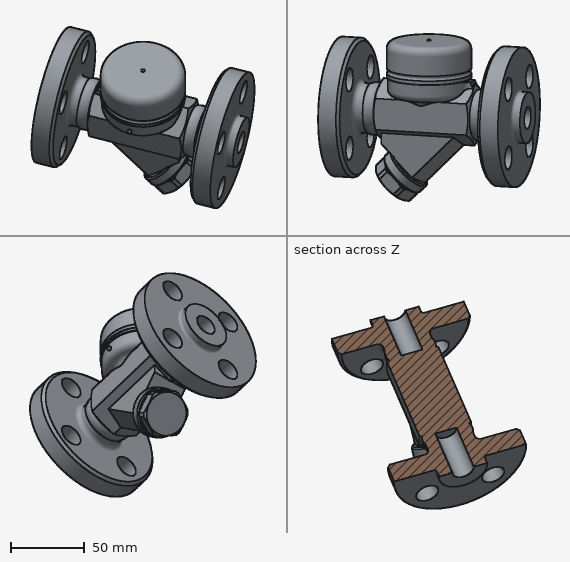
import cadquery as cq
import math


length = 140.0
half_length = length / 2
flange_radius = 95.0 / 2
flange_inner_x = 49.0
flange_outer_x = 63.8
flange_chamfer = 2.1
pipe_radius = 34.9 / 2
pipe_shoulder_x = 65.5
outer_fillet_radius = 19.5
neck_radius = 34.0 / 2
neck_start_x = 41.9
neck_end_x = 45.2
inner_fillet_radius = 40.0 / 2
weld_start_x = 34.2
weld_radius = 17.9
bolt_hole_diameter = 16.0
bolt_circle_diameter = 66.8
bolt_count = 4
bore_diameter = 15.0
bore_end_x = 35.0

body_across_flats = 37.2
body_end_x = 34.2
body_end_radius = 17.1
body_chamfer_x = 32.2

cap_radius = 57.5 / 2
cap_top_z = 49.1
cap_bottom_z = 30.1
cap_fillet = 5.6
groove_radius = 27.5
ring_top_z = 26.7
ring_bottom_z = 24.0
bowl_radius = 56.0 / 2
bowl_fillet = 4.9
bowl_bottom_z = 10.9
bowl_neck_radius = 18.5

ball_radius = 3.0 / 2
ball_offset = 0.7
top_ball_z = cap_top_z - ball_offset
side_ball_y = -(bowl_radius + ball_offset)
side_ball_z = 17.5
lug_width = 10.1
lug_top_x = -30.8
lug_top_z = 23.0
lug_base_x = -33.6
lug_base_z = 17.4

boss_axis_x = -24.9
boss_angle = math.radians(45)
boss_across_flats = 25.9
boss_start = -7.0
boss_end = 36.7
boss_flat_edge = 10.5
gusset_setback = 0.49
gusset_end_x = 30.0

collar_radius = 34.0 / 2
collar_length = 8.4
collar_chamfer = 1.1
plug_length = 17.9
plug_hex_across_flats = 30.1
plug_hex_corner_radius = 33.2 / 2
plug_chamfer_radius = 14.8
plug_chamfer_depth = 1.0


def inclined(along, across):
    """X, Z of a point measured along the screen axis and square to it."""
    foot = boss_axis_x * math.cos(boss_angle)
    x = foot * math.cos(boss_angle) + along * math.cos(boss_angle) + across * math.sin(boss_angle)
    z = foot * math.sin(boss_angle) - along * math.sin(boss_angle) + across * math.cos(boss_angle)
    return x, z


def inclined_plane(along):
    """Plane square to the screen axis, with its local X towards the upper right."""
    x, z = inclined(along, 0)
    axis = (math.cos(boss_angle), 0, -math.sin(boss_angle))
    across = (math.sin(boss_angle), 0, math.cos(boss_angle))
    return cq.Plane(origin=(x, 0, z), xDir=across, normal=axis)


def hexagon_diameter(across_flats):
    return across_flats / math.cos(math.pi / 6)


def fillet_middle(corner_x, corner_y, centre_x, centre_y):
    """Middle point of a rounded corner whose arc bulges from its centre towards the corner."""
    share = math.sin(math.pi / 4)
    return centre_x + (corner_x - centre_x) * share, centre_y + (corner_y - centre_y) * share


def pipe_end():
    """Weld bead, neck, flange and pipe stub on the +X side."""
    inner_middle = fillet_middle(flange_inner_x, neck_radius, neck_end_x, inner_fillet_radius)
    outer_middle = fillet_middle(flange_outer_x, pipe_radius, pipe_shoulder_x, outer_fillet_radius)
    blank = (
        cq.Workplane("XY")
        .lineTo(0, neck_radius)
        .lineTo(weld_start_x, neck_radius)
        .threePointArc(((weld_start_x + neck_start_x) / 2, weld_radius), (neck_start_x, neck_radius))
        .lineTo(neck_end_x, neck_radius)
        .threePointArc(inner_middle, (flange_inner_x, inner_fillet_radius))
        .lineTo(flange_inner_x, flange_radius - flange_chamfer)
        .lineTo(flange_inner_x + flange_chamfer, flange_radius)
        .lineTo(flange_outer_x, flange_radius)
        .lineTo(flange_outer_x, outer_fillet_radius)
        .threePointArc(outer_middle, (pipe_shoulder_x, pipe_radius))
        .lineTo(half_length, pipe_radius)
        .lineTo(half_length, 0)
        .close()
        .revolve(360, (0, 0, 0), (1, 0, 0))
    )
    bolt_holes = (
        cq.Workplane("YZ", origin=(flange_inner_x, 0, 0))
        .polarArray(bolt_circle_diameter / 2, 180 / bolt_count, 360, bolt_count)
        .circle(bolt_hole_diameter / 2)
        .extrude(flange_outer_x - flange_inner_x)
    )
    return blank.cut(bolt_holes)


def bore():
    """Blind flow bore on the +X side."""
    return (
        cq.Workplane("YZ", origin=(bore_end_x, 0, 0))
        .circle(bore_diameter / 2)
        .extrude(half_length - bore_end_x)
    )


def hexagonal_body():
    """Hexagonal bar along X with corners at top and bottom, turned down at both ends."""
    corner_radius = hexagon_diameter(body_across_flats) / 2
    bar = (
        cq.Workplane("YZ", origin=(-body_end_x, 0, 0))
        .transformed(rotate=(0, 0, 90))
        .polygon(6, 2 * corner_radius)
        .extrude(2 * body_end_x)
    )
    turned = (
        cq.Workplane("XY")
        .moveTo(-body_end_x, 0)
        .lineTo(-body_end_x, body_end_radius)
        .lineTo(-body_chamfer_x, corner_radius)
        .lineTo(body_chamfer_x, corner_radius)
        .lineTo(body_end_x, body_end_radius)
        .lineTo(body_end_x, 0)
        .close()
        .revolve(360, (0, 0, 0), (1, 0, 0))
    )
    return bar.intersect(turned)


def cap_and_bowl():
    """Turned cap with its groove and ring, standing on the rounded bowl and its flared neck."""
    cap_middle = fillet_middle(cap_radius, cap_top_z, cap_radius - cap_fillet, cap_top_z - cap_fillet)
    bowl_edge_radius = bowl_radius - bowl_fillet
    bowl_middle = fillet_middle(bowl_radius, bowl_bottom_z, bowl_edge_radius, bowl_bottom_z + bowl_fillet)
    neck_fillet_z = bowl_bottom_z - (bowl_edge_radius - bowl_neck_radius)
    neck_middle = fillet_middle(bowl_neck_radius, bowl_bottom_z, bowl_edge_radius, neck_fillet_z)
    return (
        cq.Workplane("XZ")
        .moveTo(0, cap_top_z)
        .lineTo(cap_radius - cap_fillet, cap_top_z)
        .threePointArc(cap_middle, (cap_radius, cap_top_z - cap_fillet))
        .lineTo(cap_radius, cap_bottom_z)
        .threePointArc((groove_radius, (cap_bottom_z + ring_top_z) / 2), (cap_radius, ring_top_z))
        .lineTo(cap_radius, ring_bottom_z)
        .lineTo(bowl_radius, ring_bottom_z)
        .lineTo(bowl_radius, bowl_bottom_z + bowl_fillet)
        .threePointArc(bowl_middle, (bowl_edge_radius, bowl_bottom_z))
        .threePointArc(neck_middle, (bowl_neck_radius, neck_fillet_z))
        .lineTo(0, neck_fillet_z)
        .close()
        .revolve(360, (0, 0, 0), (0, 1, 0))
    )


def marker_balls():
    top_ball = cq.Workplane("XY", origin=(0, 0, top_ball_z)).sphere(ball_radius)
    side_ball = cq.Workplane("XY", origin=(0, side_ball_y, side_ball_z)).sphere(ball_radius)
    return top_ball, side_ball


def lug():
    """Block on the body ridge with a sloping outer end, its sides curving tangent to the bowl."""
    half_width = lug_width / 2
    side_fillet = (lug_top_x**2 + half_width**2 - bowl_radius**2) / (2 * (bowl_radius - half_width))
    centre_y = half_width + side_fillet
    centre_distance = bowl_radius + side_fillet
    tangent_x = lug_top_x * bowl_radius / centre_distance
    tangent_y = centre_y * bowl_radius / centre_distance
    middle_angle = math.atan2(tangent_y - centre_y, tangent_x - lug_top_x) / 2 - math.pi / 4
    middle_x = lug_top_x + side_fillet * math.cos(middle_angle)
    middle_y = centre_y + side_fillet * math.sin(middle_angle)
    plan = (
        cq.Workplane("XY", origin=(0, 0, lug_base_z))
        .lineTo(tangent_x, tangent_y)
        .threePointArc((middle_x, middle_y), (lug_top_x, half_width))
        .lineTo(lug_base_x, half_width)
        .lineTo(lug_base_x, -half_width)
        .lineTo(lug_top_x, -half_width)
        .threePointArc((middle_x, -middle_y), (tangent_x, -tangent_y))
        .close()
        .extrude(lug_top_z - lug_base_z)
    )
    profile = (
        cq.Workplane("XZ")
        .moveTo(0, lug_top_z)
        .lineTo(lug_top_x, lug_top_z)
        .lineTo(lug_base_x, lug_base_z)
        .lineTo(0, lug_base_z)
        .close()
        .extrude(bowl_radius, both=True)
    )
    return plan.intersect(profile)


def screen_boss():
    """Hexagonal boss along the screen axis, filled up to the body by a flat-sided gusset."""
    gusset_end = boss_end - gusset_setback
    gusset_drop = inclined(gusset_end, 0)[1] - inclined(gusset_end, 0)[0]
    prism = (
        cq.Workplane(inclined_plane(boss_start))
        .polygon(6, hexagon_diameter(boss_across_flats))
        .extrude(boss_end - boss_start)
    )
    gusset = (
        cq.Workplane("XZ")
        .moveTo(boss_axis_x, 0)
        .lineTo(gusset_end_x, 0)
        .lineTo(gusset_end_x, gusset_end_x + gusset_drop)
        .lineTo(*inclined(gusset_end, boss_flat_edge))
        .lineTo(*inclined(boss_end, boss_flat_edge))
        .lineTo(*inclined(boss_end, 0))
        .close()
        .extrude(boss_across_flats / 2, both=True)
    )
    return prism.union(gusset)


def make_body():
    right_end = pipe_end()
    right_bore = bore()
    body = hexagonal_body().union(right_end).union(right_end.mirror("YZ"))
    body = body.union(cap_and_bowl()).union(lug()).union(screen_boss())
    for ball in marker_balls():
        body = body.union(ball)
    return body.cut(right_bore).cut(right_bore.mirror("YZ"))


def make_screen_plug():
    """Plug seated on the boss face: a chamfered round collar under a hexagon head."""
    collar = (
        cq.Workplane(inclined_plane(boss_end))
        .circle(collar_radius)
        .extrude(collar_length)
        .edges()
        .chamfer(collar_chamfer)
    )
    head_length = plug_length - collar_length
    hexagon = (
        cq.Workplane(inclined_plane(boss_end + collar_length))
        .polygon(6, hexagon_diameter(plug_hex_across_flats))
        .extrude(head_length)
    )
    turned = (
        cq.Workplane(inclined_plane(boss_end + collar_length))
        .circle(plug_hex_corner_radius)
        .extrude(head_length)
        .edges()
        .chamfer(plug_chamfer_depth, plug_hex_corner_radius - plug_chamfer_radius)
    )
    return collar.union(hexagon.intersect(turned))


body = make_body()
screen_plug = make_screen_plug()
result = cq.Compound.makeCompound([*body.solids().vals(), *screen_plug.solids().vals()])